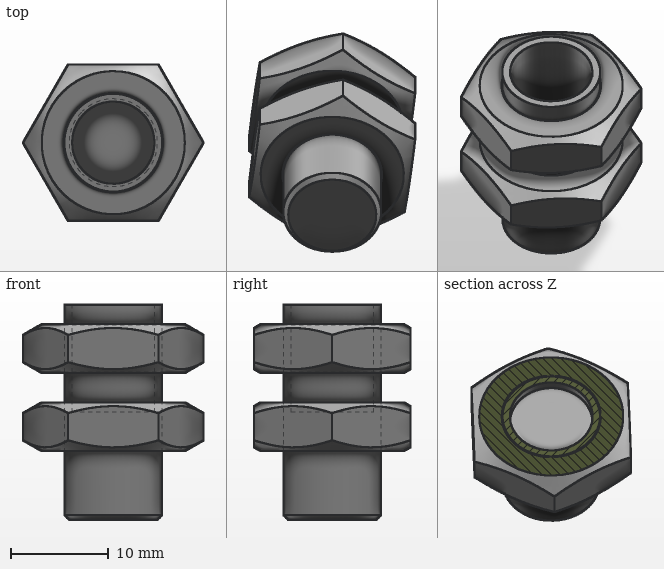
import cadquery as cq
import math

sleeve_length = 22.0
sleeve_diameter = 10.0
sleeve_chamfer = 0.5
bore_diameter = 8.4
bore_depth = 11.0

nut_across_flats = 16.0
nut_thickness = 5.0
nut_face_diameter = 14.63
nut_chamfer_angle = 30.0
nut_bore_diameter = sleeve_diameter
nut_mouth_diameter = 10.16
upper_nut_setback = 2.0
nut_gap = 3.0

nut_across_corners = nut_across_flats / math.cos(math.radians(30))
upper_nut_base = sleeve_length - upper_nut_setback - nut_thickness
lower_nut_base = upper_nut_base - nut_gap - nut_thickness


def make_sleeve():
    """Round sleeve with a chamfered foot and a blind bore in its top."""
    body = cq.Workplane("XY").circle(sleeve_diameter / 2).extrude(sleeve_length)
    body = body.faces("<Z").chamfer(sleeve_chamfer)
    return body.faces(">Z").workplane().hole(bore_diameter, bore_depth)


def make_chamfer_envelope():
    """Disc with conical edges that cuts the nut corners on both faces."""
    face_radius = nut_face_diameter / 2
    corner_radius = nut_across_corners / 2
    corner_drop = (corner_radius - face_radius) * math.tan(math.radians(nut_chamfer_angle))
    return (
        cq.Workplane("XZ")
        .moveTo(0, 0)
        .lineTo(face_radius, 0)
        .lineTo(corner_radius, corner_drop)
        .lineTo(corner_radius, nut_thickness - corner_drop)
        .lineTo(face_radius, nut_thickness)
        .lineTo(0, nut_thickness)
        .close()
        .revolve(360, (0, 0, 0), (0, 1, 0))
    )


def make_bore_cutter():
    """Straight bore that flares into a small 45 degree mouth at both nut faces."""
    bore_radius = nut_bore_diameter / 2
    mouth_radius = nut_mouth_diameter / 2
    mouth_depth = mouth_radius - bore_radius
    return (
        cq.Workplane("XZ")
        .moveTo(0, 0)
        .lineTo(mouth_radius, 0)
        .lineTo(bore_radius, mouth_depth)
        .lineTo(bore_radius, nut_thickness - mouth_depth)
        .lineTo(mouth_radius, nut_thickness)
        .lineTo(0, nut_thickness)
        .close()
        .revolve(360, (0, 0, 0), (0, 1, 0))
    )


def make_nut(base_height):
    """Hexagon nut chamfered on both faces, with its lower face at base_height."""
    hexagon = cq.Workplane("XY").polygon(6, nut_across_corners).extrude(nut_thickness)
    nut = hexagon.intersect(make_chamfer_envelope())
    nut = nut.cut(make_bore_cutter())
    return nut.translate((0, 0, base_height))


sleeve = make_sleeve()
nuts = [make_nut(base_height) for base_height in (lower_nut_base, upper_nut_base)]

result = cq.Compound.makeCompound([sleeve.val(), *[nut.val() for nut in nuts]])